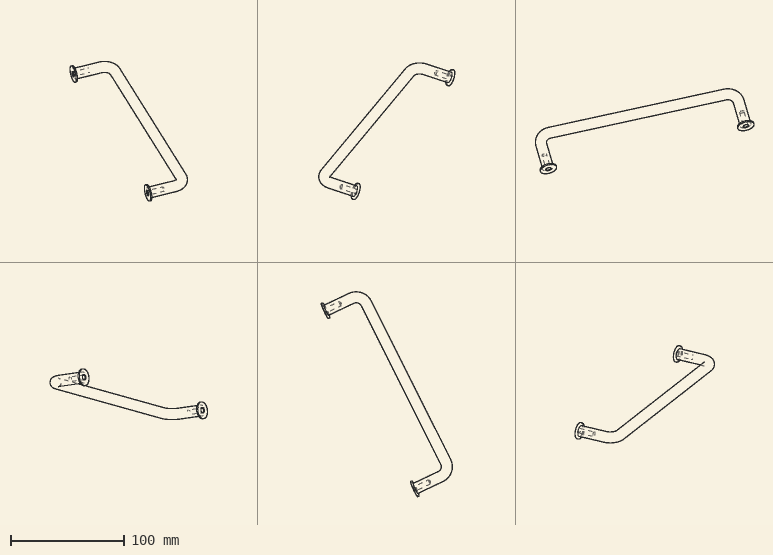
import cadquery as cq
import math

overall_length = 195.0
overall_depth = 41.0

bar_diameter = 10.0
bend_radius = 10.0

foot_diameter = 15.0
foot_thickness = 1.5
foot_fillet = 0.5

hole_diameter = 4.0
countersink_diameter = 5.0
hole_depth = 15.0
drill_point_angle = 118.0

leg_x = (overall_length - foot_diameter) / 2
bar_y = overall_depth - bar_diameter / 2
countersink_depth = (countersink_diameter - hole_diameter) / 2
drill_point_depth = hole_diameter / 2 / math.tan(math.radians(drill_point_angle / 2))


def make_bar():
    """Sweep the round bar along both legs, both bends and the grip."""
    path = (
        cq.Workplane("XY")
        .moveTo(-leg_x, 0)
        .lineTo(-leg_x, bar_y - bend_radius)
        .tangentArcPoint((bend_radius, bend_radius))
        .lineTo(leg_x - bend_radius, bar_y)
        .tangentArcPoint((bend_radius, -bend_radius))
        .lineTo(leg_x, 0)
    )
    section = cq.Workplane("XZ", origin=(-leg_x, 0, 0)).circle(bar_diameter / 2)
    return section.sweep(path)


def make_foot(x):
    """Round disc on the mounting plane, centred on a leg, with its leg-side rim rounded."""
    disc = cq.Workplane("XZ", origin=(x, 0, 0)).circle(foot_diameter / 2).extrude(-foot_thickness)
    return disc.faces(">Y").edges().fillet(foot_fillet)


def make_mounting_hole(x):
    """Drilled hole with a conical bottom and a 45 degree countersink, turned about the leg axis."""
    profile = (
        cq.Workplane("XY", origin=(x, 0, 0))
        .lineTo(countersink_diameter / 2, 0)
        .lineTo(hole_diameter / 2, countersink_depth)
        .lineTo(hole_diameter / 2, hole_depth)
        .lineTo(0, hole_depth + drill_point_depth)
        .close()
    )
    return profile.revolve(360, (0, 0, 0), (0, 1, 0))


handle = make_bar()
for x in (-leg_x, leg_x):
    handle = handle.union(make_foot(x))
    handle = handle.cut(make_mounting_hole(x))

result = handle